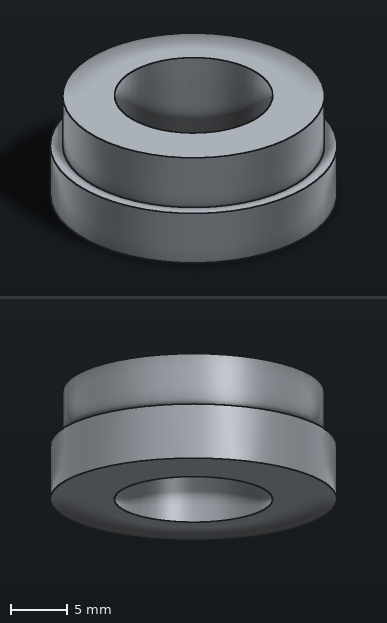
import cadquery as cq

flange_diameter = 25.4
collar_diameter = 23.2
bore_diameter = 14.0
total_height = 10.0
flange_height = total_height / 2
collar_height = total_height - flange_height

flange = cq.Workplane("XY").circle(flange_diameter / 2).extrude(flange_height)

stepped_body = flange.faces(">Z").workplane().circle(collar_diameter / 2).extrude(collar_height)

result = stepped_body.faces(">Z").workplane().hole(bore_diameter)